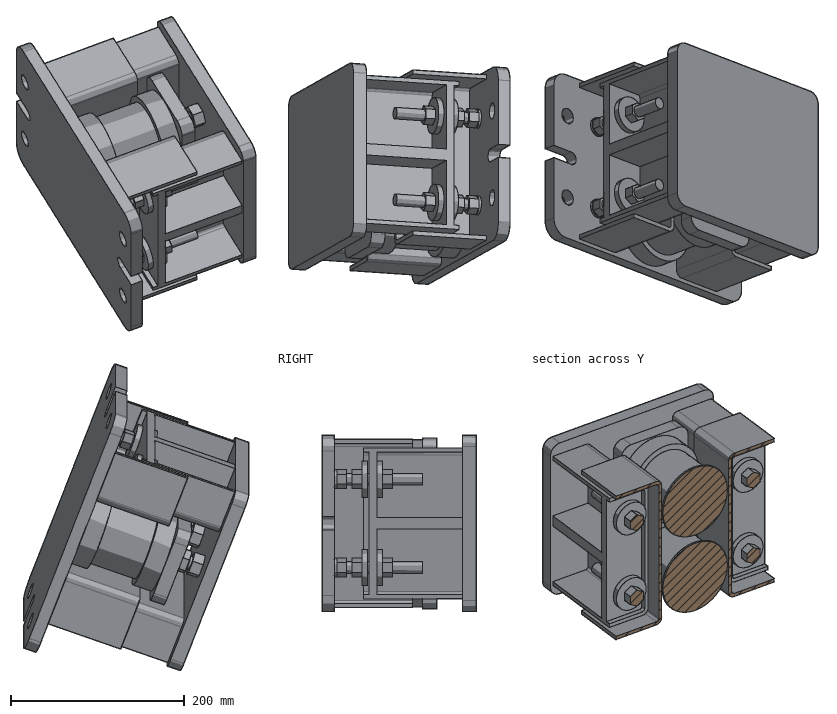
import cadquery as cq

total_depth = 177.7
plate_height = 203.3

front_width = 304.8
front_thickness = 14.3
front_corner_radius = 18.5
mount_hole_diameter = 18.3
mount_hole_x = 130.0
row_z = plate_height / 4
row_heights = (-row_z, row_z)
slot_width = 15.2
slot_depth = 36.0

back_width = 228.5
back_thickness = 16.2
back_corner_radius = 13.0
back_inner_y = total_depth - back_thickness

wall = 5.0
channel_gap = 5.2
bend_inner_radius = 3.5
bend_outer_radius = bend_inner_radius + wall
channel_outer_x = 111.3
outer_web_x = 46.5
outer_channel_height = 194.0
outer_channel_end_y = 104.0
nesting_step = wall + channel_gap
inner_web_x = outer_web_x + nesting_step
inner_channel_height = outer_channel_height - 2 * nesting_step
inner_channel_start_y = 48.0

bolt_plate_front_y = 54.0
bolt_plate_thickness = 9.5
bolt_plate_back_y = bolt_plate_front_y + bolt_plate_thickness
gusset_thickness = 13.5

bolt_x = 82.0
bolt_diameter = 13.5
bolt_end_y = 115.8
bolt_tip_diameter = 22.0
washer_diameter = 41.8
washer_thickness = 6.5
bolt_hex_corners = 22.0
bolt_hex_height = 11.3
bolt_hex_turn = 90
bolt_head_y = 17.0
front_washer_y = 45.7

collar_diameter = 91.0
collar_length = 22.3
barrel_diameter = 76.8
cylinder_length = 101.5
cylinder_end_y = front_thickness + cylinder_length
tie_width = 93.3
tie_height = 196.5
tie_thickness = 16.5
tie_corner_radius = 13.5
tie_back_y = cylinder_end_y + tie_thickness
rod_diameter = 15.5
rod_hex_corners = 28.0
rod_hex_height = 12.8


def box(x0, x1, y0, y1, z0, z1):
    return cq.Workplane("XY").box(x1 - x0, y1 - y0, z1 - z0, centered=False).translate((x0, y0, z0))


def rounded_plate(width, height, y0, thickness, corner_radius):
    plate = box(-width / 2, width / 2, y0, y0 + thickness, -height / 2, height / 2)
    return plate.edges("|Y").fillet(corner_radius)


def disc(x, z, diameter, y0, y1):
    return cq.Workplane("XZ").circle(diameter / 2).extrude(y0 - y1).translate((x, y0, z))


def hex_nut(x, z, corners, y0, height, turn=0):
    """Hexagon along Y with corners toward +X and -X, turned about its axis by `turn` degrees."""
    prism = cq.Workplane("XZ").polygon(6, corners).extrude(-height)
    return prism.rotate((0, 0, 0), (0, 1, 0), turn).translate((x, y0, z))


def front_plate():
    plate = rounded_plate(front_width, plate_height, 0, front_thickness, front_corner_radius)
    slot_centre_x = front_width / 2 - slot_depth + slot_width / 2
    for side in (-1, 1):
        for z in row_heights:
            plate = plate.cut(disc(side * mount_hole_x, z, mount_hole_diameter, 0, front_thickness))
        ends = sorted((side * slot_centre_x, side * front_width / 2))
        plate = plate.cut(box(*ends, 0, front_thickness, -slot_width / 2, slot_width / 2))
        plate = plate.cut(disc(side * slot_centre_x, 0, slot_width, 0, front_thickness))
    return plate


def bent_block(web_x, height, y0, y1):
    """Solid outline of a channel on the +X side, rounded at its two inboard corners."""
    block = box(web_x, channel_outer_x, y0, y1, -height / 2, height / 2)
    return block.edges("|Y and <X").fillet(bend_outer_radius)


def channel(web_x, height, y0, y1):
    """Bent channel on the +X side, open toward +X."""
    inner_half = height / 2 - wall
    inside = box(web_x + wall, channel_outer_x, y0, y1, -inner_half, inner_half)
    inside = inside.edges("|Y and <X").fillet(bend_inner_radius)
    return bent_block(web_x, height, y0, y1).cut(inside)


def back_channel():
    """Channel on the +X side with its bolt plate and middle gusset."""
    bolt_plate = bent_block(inner_web_x, inner_channel_height, bolt_plate_front_y, bolt_plate_back_y)
    gusset_half = gusset_thickness / 2
    gusset = box(inner_web_x, channel_outer_x, bolt_plate_back_y, back_inner_y, -gusset_half, gusset_half)
    shell = channel(inner_web_x, inner_channel_height, inner_channel_start_y, back_inner_y)
    return shell.union(bolt_plate).union(gusset)


def stop_bolt(z):
    nut_y = bolt_plate_back_y + washer_thickness
    bolt = disc(bolt_x, z, bolt_diameter, bolt_head_y, bolt_end_y)
    bolt = bolt.union(disc(bolt_x, z, bolt_tip_diameter, front_thickness, bolt_head_y))
    for washer_y in (front_washer_y, bolt_plate_back_y):
        bolt = bolt.union(disc(bolt_x, z, washer_diameter, washer_y, washer_y + washer_thickness))
    for hex_y in (bolt_head_y, front_washer_y - bolt_hex_height, nut_y):
        bolt = bolt.union(hex_nut(bolt_x, z, bolt_hex_corners, hex_y, bolt_hex_height, bolt_hex_turn))
    return bolt


def cylinder(z):
    body = disc(0, z, barrel_diameter, front_thickness, cylinder_end_y)
    for collar_y in (front_thickness, cylinder_end_y - collar_length):
        body = body.union(disc(0, z, collar_diameter, collar_y, collar_y + collar_length))
    body = body.union(disc(0, z, rod_diameter, tie_back_y, back_inner_y))
    for hex_y in (tie_back_y, back_inner_y - rod_hex_height):
        body = body.union(hex_nut(0, z, rod_hex_corners, hex_y, rod_hex_height))
    return body


side_assembly = channel(outer_web_x, outer_channel_height, front_thickness, outer_channel_end_y)
side_assembly = side_assembly.union(back_channel())
for z in row_heights:
    side_assembly = side_assembly.union(stop_bolt(z))

back_plate = rounded_plate(back_width, plate_height, back_inner_y, back_thickness, back_corner_radius)
tie_plate = rounded_plate(tie_width, tie_height, cylinder_end_y, tie_thickness, tie_corner_radius)

result = front_plate().union(back_plate).union(tie_plate)
for z in row_heights:
    result = result.union(cylinder(z))
result = result.union(side_assembly).union(side_assembly.mirror("YZ"))